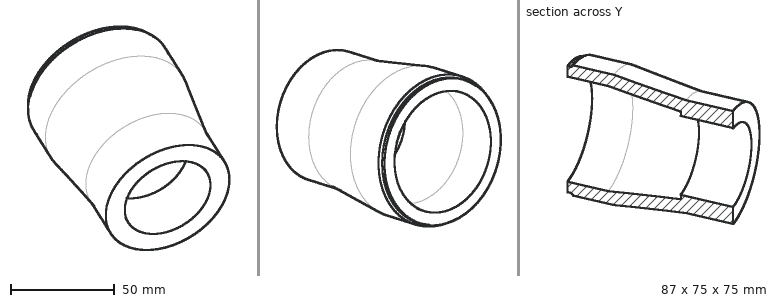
import cadquery as cq

LENGTH = 87.0
LIP_LENGTH = 1.8
TAPER_START = 24.5
TAPER_LENGTH = 38.0
TAPER_END = TAPER_START + TAPER_LENGTH

BORE_TAPER_START = 21.45
BORE_TAPER_END = BORE_TAPER_START + TAPER_LENGTH

LARGE_DIAMETER = 75.0
LIP_DIAMETER = 72.5
SMALL_DIAMETER = 65.0

LARGE_BORE = 60.0
TAPER_BORE = 50.0
SMALL_BORE = 45.0

CHAMFER_END = LIP_LENGTH + (LARGE_DIAMETER - LIP_DIAMETER) / 2


def cylinder(start, end, diameter):
    """Cylinder on the X axis between two axial stations."""
    return cq.Workplane("YZ", origin=(start, 0, 0)).circle(diameter / 2).extrude(end - start)


def taper(start, end, start_diameter, end_diameter):
    """Straight-sided loft on the X axis between two circles."""
    return (
        cq.Workplane("YZ", origin=(start, 0, 0))
        .circle(start_diameter / 2)
        .workplane(offset=end - start)
        .circle(end_diameter / 2)
        .loft(ruled=True)
    )


def make_body():
    """Solid outer shape: lip, chamfer, large barrel, taper and small barrel."""
    lip = cylinder(0, LIP_LENGTH, LIP_DIAMETER)
    chamfer = taper(LIP_LENGTH, CHAMFER_END, LIP_DIAMETER, LARGE_DIAMETER)
    large_barrel = cylinder(CHAMFER_END, TAPER_START, LARGE_DIAMETER)
    reducer = taper(TAPER_START, TAPER_END, LARGE_DIAMETER, SMALL_DIAMETER)
    small_barrel = cylinder(TAPER_END, LENGTH, SMALL_DIAMETER)
    return lip.union(chamfer).union(large_barrel).union(reducer).union(small_barrel)


def make_bore():
    """Through passage: large bore, taper, then a step down to the small bore."""
    large_bore = cylinder(0, BORE_TAPER_START, LARGE_BORE)
    reducer = taper(BORE_TAPER_START, BORE_TAPER_END, LARGE_BORE, TAPER_BORE)
    small_bore = cylinder(BORE_TAPER_END, LENGTH, SMALL_BORE)
    return large_bore.union(reducer).union(small_bore)


result = make_body().cut(make_bore())